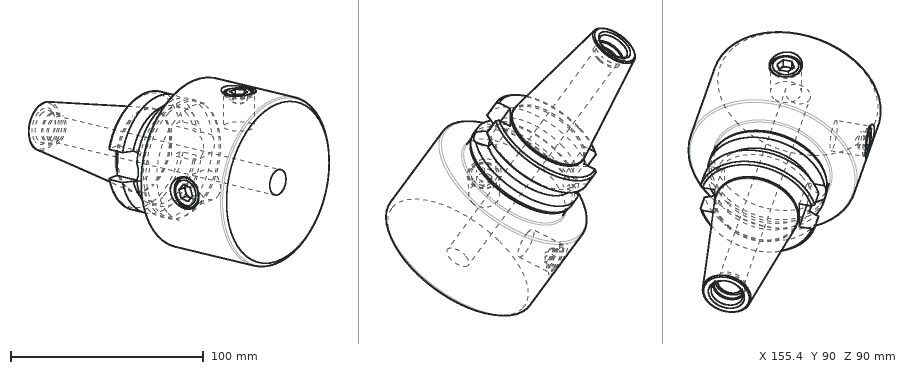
import cadquery as cq
import math

TOTAL_LENGTH = 155.4

TAPER_RATE = 7 / 24
GAUGE_RADIUS = 44.6 / 2
TAPER_END = 65.0
SHANK_END_CHAMFER = 0.6
RELIEF_START = 65.9
RELIEF_RADIUS = 44.0 / 2

FLANGE_START = 66.8
FLANGE_RADIUS = 31.5
FLANGE_CHAMFER = 1.2
V_START = 76.8
V_FLOOR_START = 79.4
V_FLOOR_END = 84.2
V_END = 86.7
V_FLOOR_RADIUS = 26.3
FLANGE_END = 91.2

COLLAR_START = 92.6
COLLAR_RADIUS = 62.0 / 2
COLLAR_FILLET = 0.8

HEAD_START = 100.0
HEAD_RADIUS = 90.0 / 2
HEAD_BACK_FILLET = 1.0
NOSE_BLEND_START = 153.0
NOSE_CHAMFER_START = 154.0
NOSE_CHAMFER_RADIUS = 44.5
NOSE_FACE_RADIUS = 42.7

BORE_RADIUS = 13.5 / 2
ENTRY_RADIUS = 17.0 / 2
ENTRY_MOUTH_RADIUS = 9.6
ENTRY_DEPTH = 5.5
STEP_RADIUS = 16.0 / 2
STEP_DEPTH = 8.5

SLOT_WIDTH = 16.3
SLOT_END = 88.1
SLOT_FLOOR = 22.5

SCREW_X = 129.5
SCREW_RADIUS = 16.0 / 2
SCREW_LENGTH = 18.6
SCREW_FACE_RADIUS = 13.5 / 2
SCREW_RECESS = 1.0
SINK_RADIUS = 18.8 / 2
HEX_ACROSS_FLATS = 8.0
HEX_DEPTH = 4.7
HEX_TIP_DEPTH = 2.3

SCREWS = [
    (cq.Vector(0, -1, 0), 49),
    (cq.Vector(0, 0, 1), 30),
]


def make_turned_body():
    """Revolve the outer profile of the holder about X."""
    small_end = GAUGE_RADIUS - TAPER_END * TAPER_RATE / 2
    chamfer_top = small_end + SHANK_END_CHAMFER * TAPER_RATE / 2
    fillet_mid = HEAD_BACK_FILLET * (1 - math.sqrt(0.5))
    collar_mid = COLLAR_FILLET * (1 - math.sqrt(0.5))
    blend_x = (NOSE_BLEND_START + NOSE_CHAMFER_START) / 2
    blend_sag = (HEAD_RADIUS - NOSE_CHAMFER_RADIUS) / 4
    profile = (
        cq.Workplane("XY")
        .moveTo(0, 0)
        .lineTo(0, small_end - SHANK_END_CHAMFER)
        .lineTo(SHANK_END_CHAMFER, chamfer_top)
        .lineTo(TAPER_END, GAUGE_RADIUS)
        .lineTo(RELIEF_START, GAUGE_RADIUS)
        .lineTo(RELIEF_START, RELIEF_RADIUS)
        .lineTo(FLANGE_START, RELIEF_RADIUS)
        .lineTo(FLANGE_START, FLANGE_RADIUS - FLANGE_CHAMFER)
        .lineTo(FLANGE_START + FLANGE_CHAMFER, FLANGE_RADIUS)
        .lineTo(V_START, FLANGE_RADIUS)
        .lineTo(V_FLOOR_START, V_FLOOR_RADIUS)
        .lineTo(V_FLOOR_END, V_FLOOR_RADIUS)
        .lineTo(V_END, FLANGE_RADIUS)
        .lineTo(FLANGE_END, FLANGE_RADIUS)
        .lineTo(COLLAR_START, COLLAR_RADIUS)
        .lineTo(HEAD_START - COLLAR_FILLET, COLLAR_RADIUS)
        .threePointArc(
            (HEAD_START - collar_mid, COLLAR_RADIUS + collar_mid),
            (HEAD_START, COLLAR_RADIUS + COLLAR_FILLET),
        )
        .lineTo(HEAD_START, HEAD_RADIUS - HEAD_BACK_FILLET)
        .threePointArc(
            (HEAD_START + fillet_mid, HEAD_RADIUS - fillet_mid),
            (HEAD_START + HEAD_BACK_FILLET, HEAD_RADIUS),
        )
        .lineTo(NOSE_BLEND_START, HEAD_RADIUS)
        .threePointArc(
            (blend_x, HEAD_RADIUS - blend_sag),
            (NOSE_CHAMFER_START, NOSE_CHAMFER_RADIUS),
        )
        .lineTo(TOTAL_LENGTH, NOSE_FACE_RADIUS)
        .lineTo(TOTAL_LENGTH, 0)
        .close()
    )
    return profile.revolve(360, (0, 0, 0), (1, 0, 0))


def make_bore():
    """Through bore with a stepped, countersunk entry at the shank end."""
    mouth_depth = ENTRY_MOUTH_RADIUS - ENTRY_RADIUS
    profile = (
        cq.Workplane("XY")
        .moveTo(0, 0)
        .lineTo(0, ENTRY_MOUTH_RADIUS)
        .lineTo(mouth_depth, ENTRY_RADIUS)
        .lineTo(ENTRY_DEPTH, ENTRY_RADIUS)
        .lineTo(ENTRY_DEPTH + ENTRY_RADIUS - STEP_RADIUS, STEP_RADIUS)
        .lineTo(STEP_DEPTH, STEP_RADIUS)
        .lineTo(STEP_DEPTH, BORE_RADIUS)
        .lineTo(TOTAL_LENGTH, BORE_RADIUS)
        .lineTo(TOTAL_LENGTH, 0)
        .close()
    )
    return profile.revolve(360, (0, 0, 0), (1, 0, 0))


def make_drive_slot(side):
    """Round-ended slot cutter on the +Y (side=1) or -Y (side=-1) flank."""
    end_radius = SLOT_WIDTH / 2
    end_center = SLOT_END - end_radius
    outline = (
        cq.Workplane("XZ", origin=(0, side * SLOT_FLOOR, 0))
        .moveTo(FLANGE_START, -end_radius)
        .lineTo(end_center, -end_radius)
        .threePointArc((SLOT_END, 0), (end_center, end_radius))
        .lineTo(FLANGE_START, end_radius)
        .close()
    )
    return outline.extrude(-side * (FLANGE_RADIUS - SLOT_FLOOR))


def screw_plane(outward, distance):
    """Plane across a screw axis at a distance from the holder axis."""
    origin = outward * distance + cq.Vector(SCREW_X, 0, 0)
    return cq.Plane(origin=origin, xDir=(1, 0, 0), normal=outward)


def make_screw_hole(outward):
    """Blind screw hole with a 45 degree countersink at the head surface."""
    bottom = HEAD_RADIUS - SCREW_RECESS - SCREW_LENGTH
    hole = cq.Workplane(screw_plane(outward, bottom)).circle(SCREW_RADIUS).extrude(HEAD_RADIUS - bottom)
    sink_depth = SINK_RADIUS - SCREW_RADIUS
    sink = cq.Solid.makeCone(
        SCREW_RADIUS,
        SINK_RADIUS,
        sink_depth,
        screw_plane(outward, HEAD_RADIUS - sink_depth).origin,
        outward,
    )
    return hole.union(cq.Workplane(sink))


def make_clamp_screw(outward, hex_turn):
    """Set screw with a chamfered outer edge and a hexagon socket."""
    face = HEAD_RADIUS - SCREW_RECESS
    screw = (
        cq.Workplane(screw_plane(outward, face - SCREW_LENGTH))
        .circle(SCREW_RADIUS)
        .extrude(SCREW_LENGTH)
        .faces(cq.selectors.DirectionMinMaxSelector(outward, True))
        .chamfer(SCREW_RADIUS - SCREW_FACE_RADIUS)
    )
    corner_diameter = HEX_ACROSS_FLATS / math.cos(math.pi / 6)
    socket = (
        cq.Workplane(screw_plane(outward, face))
        .transformed(rotate=(0, 0, hex_turn))
        .polygon(6, corner_diameter)
        .extrude(-HEX_DEPTH)
    )
    tip = cq.Solid.makeCone(
        HEX_ACROSS_FLATS / 2,
        0,
        HEX_TIP_DEPTH,
        screw_plane(outward, face - HEX_DEPTH).origin,
        outward * -1,
    )
    return screw.cut(socket).cut(cq.Workplane(tip))


holder = make_turned_body().cut(make_bore())
for flank in (1, -1):
    holder = holder.cut(make_drive_slot(flank))
for direction, _ in SCREWS:
    holder = holder.cut(make_screw_hole(direction))

clamp_screws = [make_clamp_screw(direction, turn) for direction, turn in SCREWS]

result = cq.Compound.makeCompound([holder.val(), *[screw.val() for screw in clamp_screws]])